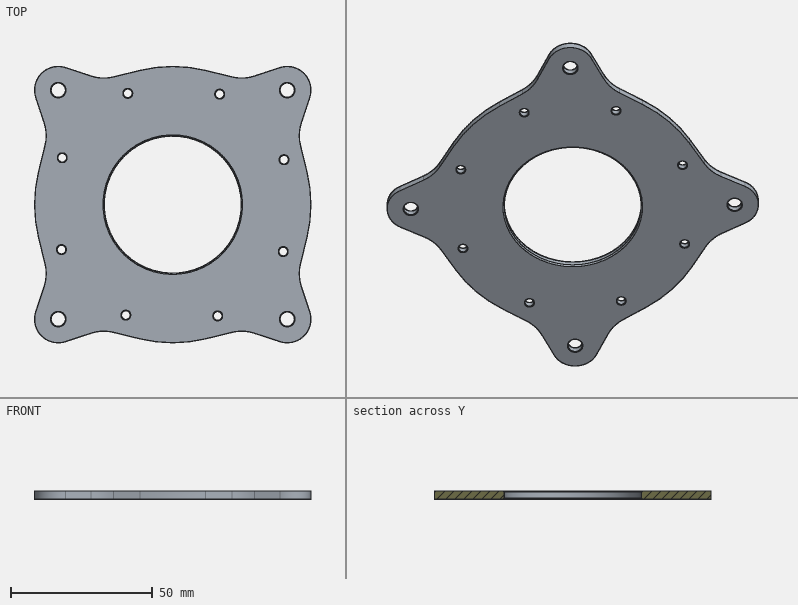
import cadquery as cq
import math

plate_size = 98.0
thickness = 3.0
half_size = plate_size / 2

disc_radius = half_size
ear_radius = 8.4
ear_center = half_size - ear_radius
waist_radius = 14.4
disc_line_angle = 13.8
ear_line_angle = 18.3

bore_diameter = 48.5
ear_hole_diameter = 5.0
ring_hole_diameter = 3.0
ring_hole_count = 8
ring_radius = 42.5
ring_start_angle = 22.0
bore_chamfer = 0.5
small_hole_chamfer = 0.245


def point_on_arc(center, radius, degrees_from_y):
    """Point on a circle, with the angle measured clockwise from +Y."""
    angle = math.radians(degrees_from_y)
    return (center[0] + radius * math.sin(angle), center[1] + radius * math.cos(angle))


def waist_center():
    """Center of the concave round tangent to both straight stretches of the top side."""
    disc_angle = math.radians(disc_line_angle)
    ear_angle = math.radians(ear_line_angle)
    disc_offset = disc_radius + waist_radius
    ear_offset = ear_center * (math.cos(ear_angle) - math.sin(ear_angle)) + ear_radius + waist_radius
    spread = math.sin(disc_angle + ear_angle)
    x = (disc_offset * math.cos(ear_angle) - ear_offset * math.cos(disc_angle)) / spread
    y = (disc_offset * math.sin(ear_angle) + ear_offset * math.sin(disc_angle)) / spread
    return (x, y)


def make_plate():
    origin = (0, 0)
    ear = (ear_center, ear_center)
    waist = waist_center()
    mirrored_waist = (-waist[0], waist[1])
    disc_start = point_on_arc(origin, disc_radius, -disc_line_angle)

    def turned(point, quarter_turns):
        x, y = point
        for _ in range(quarter_turns):
            x, y = y, -x
        return (x, y)

    outline = cq.Workplane("XY").moveTo(*disc_start)
    for quarter in range(4):
        def place(center, radius, degrees_from_y):
            return turned(point_on_arc(center, radius, degrees_from_y), quarter)

        outline = (
            outline
            .threePointArc(place(origin, disc_radius, 0), place(origin, disc_radius, disc_line_angle))
            .lineTo(*place(waist, waist_radius, 180 + disc_line_angle))
            .threePointArc(
                place(waist, waist_radius, 180),
                place(waist, waist_radius, 180 - ear_line_angle),
            )
            .lineTo(*place(ear, ear_radius, -ear_line_angle))
            .threePointArc(place(ear, ear_radius, 45), place(ear, ear_radius, 90 + ear_line_angle))
            .lineTo(*turned(point_on_arc(mirrored_waist, waist_radius, 180 + ear_line_angle), quarter + 1))
            .threePointArc(
                turned(point_on_arc(mirrored_waist, waist_radius, 180), quarter + 1),
                turned(point_on_arc(mirrored_waist, waist_radius, 180 - disc_line_angle), quarter + 1),
            )
            .lineTo(*turned(disc_start, quarter + 1))
        )
    return outline.close().extrude(thickness).translate((0, 0, -thickness / 2))


def chamfered_holes(centers, diameter, chamfer):
    """Through-hole cutters at the given centers, flared at both faces."""
    drills = centers.circle(diameter / 2).extrude(-thickness)
    flares = centers.circle(diameter / 2 + chamfer).extrude(-chamfer, taper=45)
    cutters = drills.union(flares)
    return cutters.union(cutters.mirror("XY"))


top = cq.Workplane("XY", origin=(0, 0, thickness / 2))
bore_spot = top.pushPoints([(0, 0)])
ear_spots = top.rect(2 * ear_center, 2 * ear_center, forConstruction=True).vertices()
ring_spots = top.polarArray(ring_radius, ring_start_angle, 360, ring_hole_count)

result = (
    make_plate()
    .cut(chamfered_holes(bore_spot, bore_diameter, bore_chamfer))
    .cut(chamfered_holes(ear_spots, ear_hole_diameter, small_hole_chamfer))
    .cut(chamfered_holes(ring_spots, ring_hole_diameter, small_hole_chamfer))
)